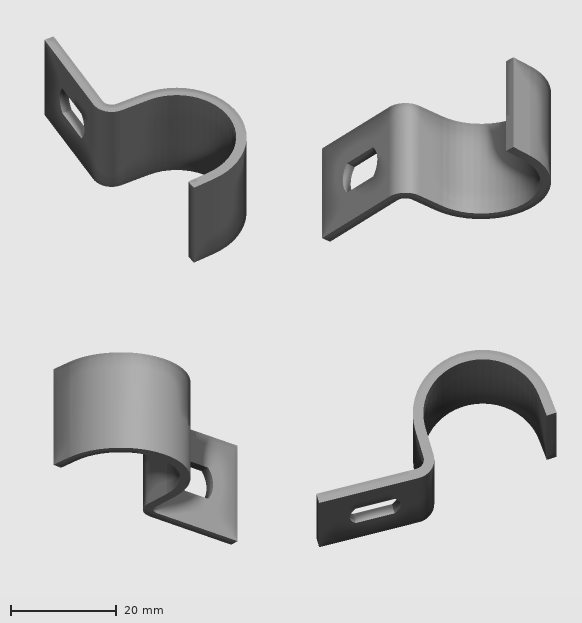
import cadquery as cq
import math

overall_length = 48.3
overall_depth = 23.0
strap_width = 20.0
thickness = 2.0

bend_inner_radius = 2.0
loop_outer_radius = 13.25

tail_flare = 4.0
tail_end_y = 6.1

hole_x = 11.0
hole_diameter = 10.05
hole_height = 6.5

loop_inner_radius = loop_outer_radius - thickness
loop_y = overall_depth - loop_outer_radius
flare = math.radians(tail_flare)
tail_drop = loop_y + loop_inner_radius * math.sin(flare) - tail_end_y
tail_lean = tail_drop * math.tan(flare)
loop_x = overall_length - tail_lean - loop_outer_radius * math.cos(flare)

leg_outer_x = loop_x - loop_outer_radius
leg_inner_x = leg_outer_x + thickness
bend_outer_radius = bend_inner_radius + thickness
bend_x = leg_inner_x - bend_outer_radius


def on_circle(center_x, center_y, radius, angle):
    """Point on a circle at an angle in radians."""
    return (center_x + radius * math.cos(angle), center_y + radius * math.sin(angle))


def make_strap():
    """Constant-thickness strip: plate, bend, leg, loop and flared tail."""
    outer_tangent = on_circle(loop_x, loop_y, loop_outer_radius, flare)
    inner_tangent = on_circle(loop_x, loop_y, loop_inner_radius, flare)

    inner_tip = (inner_tangent[0] + tail_lean, inner_tangent[1] - tail_drop)
    outer_tip = (outer_tangent[0] + tail_lean, outer_tangent[1] - tail_drop)

    bend_middle = -math.pi / 4
    outer_bend_mid = on_circle(bend_x, bend_outer_radius, bend_outer_radius, bend_middle)
    inner_bend_mid = on_circle(bend_x, bend_outer_radius, bend_inner_radius, bend_middle)

    return (
        cq.Workplane("XY")
        .moveTo(0, 0)
        .lineTo(bend_x, 0)
        .threePointArc(outer_bend_mid, (leg_inner_x, bend_outer_radius))
        .lineTo(leg_inner_x, loop_y)
        .threePointArc((loop_x, loop_y + loop_inner_radius), inner_tangent)
        .lineTo(*inner_tip)
        .lineTo(*outer_tip)
        .lineTo(*outer_tangent)
        .threePointArc((loop_x, overall_depth), (leg_outer_x, loop_y))
        .lineTo(leg_outer_x, bend_outer_radius)
        .threePointArc(inner_bend_mid, (bend_x, thickness))
        .lineTo(0, thickness)
        .close()
        .extrude(strap_width)
    )


def make_hole():
    """Cutter for the flat-sided hole, running through the plate along Y."""
    hole_plane = cq.Workplane("XZ", origin=(hole_x, thickness, strap_width / 2))
    cylinder = hole_plane.circle(hole_diameter / 2).extrude(thickness)
    flats = hole_plane.rect(hole_diameter, hole_height).extrude(thickness)
    return cylinder.intersect(flats)


result = make_strap().cut(make_hole())